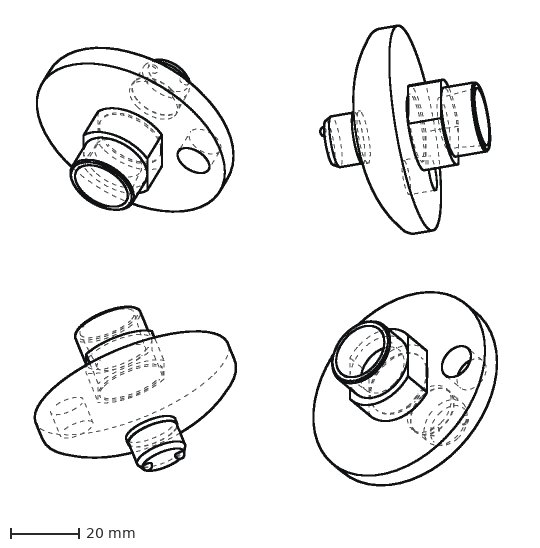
import cadquery as cq
import math


disc_radius = 30.5
rim_height = 5.3
shoulder_height = 7.75
shoulder_radius = 29.3
dome_height = 15.6
crown_radius = 8.2

collar_radius = 7.8
collar_end = 17.2
stem_radius = 15.2 / 2
taper_start = 24.1
stem_end = 25.9
stem_tip_radius = 6.6

ball_radius = 1.45
ball_offset = 5.1
ball_top = 27.4

neck_radius = 10.1
neck_length = 0.55
nut_radius = 25.3 / 2
nut_end = 10.5
socket_radius = 20.6 / 2
nut_width = 2 * socket_radius
socket_length = 20.2
socket_chamfer = 0.5

bore_mouth_radius = 8.55
bore_floor_radius = 15.3 / 2
taper_depth = 10.05
bore_depth = 11.6

hole_diameter = 10.3
hole_offset = 20.3
hole_depth = 7.9


def cylinder(radius, start, end):
    """Cylinder about the Y axis between two Y positions."""
    return cq.Workplane("XZ", origin=(0, end, 0)).circle(radius).extrude(end - start)


def make_disc():
    """Revolve the disc with its rounded shoulder and a dome tangent to the flat crown."""
    run = shoulder_radius - crown_radius
    drop = dome_height - shoulder_height
    dome_radius = (run**2 + drop**2) / (2 * drop)
    half_angle = math.atan2(run, dome_radius - drop) / 2
    dome_middle = (
        crown_radius + dome_radius * math.sin(half_angle),
        dome_height - dome_radius * (1 - math.cos(half_angle)),
    )
    return (
        cq.Workplane("XY")
        .lineTo(disc_radius, 0)
        .lineTo(disc_radius, rim_height)
        .tangentArcPoint((shoulder_radius, shoulder_height), relative=False)
        .threePointArc(dome_middle, (crown_radius, dome_height))
        .lineTo(0, dome_height)
        .close()
        .revolve(360, (0, 0, 0), (0, 1, 0))
    )


def make_stem():
    """Collar, stem with a tapered end, and the two contact balls."""
    collar = cylinder(collar_radius, 0, collar_end)
    taper_length = stem_end - taper_start
    stem = (
        cylinder(stem_radius, 0, stem_end)
        .faces(">Y")
        .chamfer(taper_length, stem_radius - stem_tip_radius)
    )
    stem = stem.union(collar)
    for side in (-1, 1):
        center = (side * ball_offset, ball_top - ball_radius, 0)
        stem = stem.union(cq.Workplane("XY").sphere(ball_radius).translate(center))
    return stem


def make_socket():
    """Neck, round nut with two flats, and the chamfered tube."""
    neck = cylinder(neck_radius, -nut_end, 0)
    nut = cylinder(nut_radius, -nut_end, -neck_length)
    flats = cq.Workplane("XY").box(nut_width, 2 * socket_length, 2 * nut_radius)
    tube = cylinder(socket_radius, -socket_length, -nut_end).faces("<Y").chamfer(socket_chamfer)
    return neck.union(nut.intersect(flats)).union(tube)


def make_bore():
    """Cone that narrows from the socket mouth into a short straight bore with a flat floor."""
    floor = bore_depth - socket_length
    return (
        cq.Workplane("XY")
        .moveTo(0, -socket_length)
        .lineTo(bore_mouth_radius, -socket_length)
        .lineTo(bore_floor_radius, taper_depth - socket_length)
        .lineTo(bore_floor_radius, floor)
        .lineTo(0, floor)
        .close()
        .revolve(360, (0, 0, 0), (0, 1, 0))
    )


hole = cylinder(hole_diameter / 2, 0, hole_depth).translate((hole_offset, 0, 0))
result = make_disc().union(make_stem()).union(make_socket()).cut(make_bore()).cut(hole)